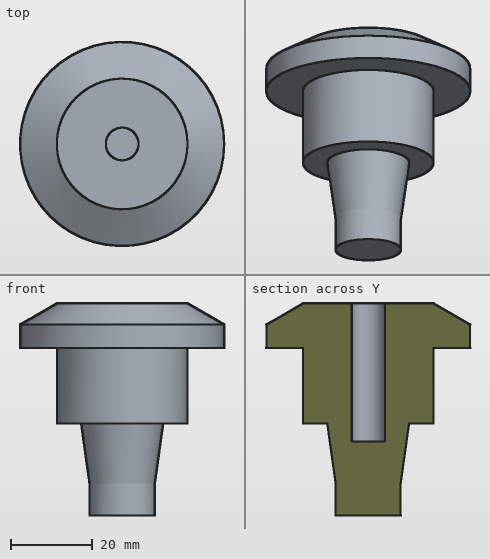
import cadquery as cq
import math

flange_diameter = 49.95
body_diameter = 32.0
taper_top_diameter = 20.1
stem_diameter = 16.0
hole_diameter = 8.0

total_height = 52.0
stem_height = 7.85
taper_height = 14.65
body_height = 18.5
bevel_angle = 30.0
hole_depth = 33.8

flange_radius = flange_diameter / 2
body_radius = body_diameter / 2
taper_top_radius = taper_top_diameter / 2
stem_radius = stem_diameter / 2

taper_top_z = stem_height + taper_height
flange_bottom_z = taper_top_z + body_height
bevel_height = (flange_radius - body_radius) * math.tan(math.radians(bevel_angle))
rim_top_z = total_height - bevel_height

knob = (
    cq.Workplane("XZ")
    .moveTo(0, 0)
    .lineTo(stem_radius, 0)
    .lineTo(stem_radius, stem_height)
    .lineTo(taper_top_radius, taper_top_z)
    .lineTo(body_radius, taper_top_z)
    .lineTo(body_radius, flange_bottom_z)
    .lineTo(flange_radius, flange_bottom_z)
    .lineTo(flange_radius, rim_top_z)
    .lineTo(body_radius, total_height)
    .lineTo(0, total_height)
    .close()
    .revolve(360, (0, 0, 0), (0, 1, 0))
)

hole = (
    cq.Workplane("XY")
    .workplane(offset=total_height - hole_depth)
    .circle(hole_diameter / 2)
    .extrude(hole_depth)
)

result = knob.cut(hole)